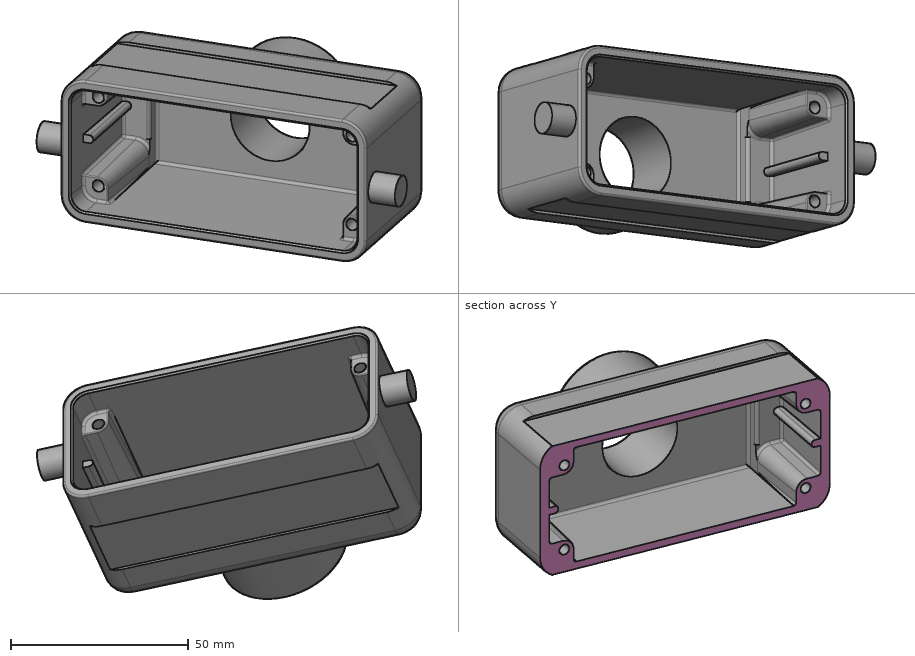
import cadquery as cq
import math

BODY_WIDTH = 93.3
BODY_DEPTH = 45.1
BODY_HEIGHT = 43.0
CORNER_RADIUS = 7.5
BACK_FILLET = 5.3
RIM_FILLET = 0.7

SIDE_WALL = 3.0
TOP_WALL = 3.2
MOUTH_CHAMFER = 0.5
CAVITY_WIDTH = BODY_WIDTH - 2 * SIDE_WALL
CAVITY_HEIGHT = BODY_HEIGHT - 2 * TOP_WALL
CAVITY_RADIUS = CORNER_RADIUS - SIDE_WALL
CAVITY_DRAFT = 0.6
CAVITY_FILLET = 0.9
BACK_WALL = 3.3
FLOOR_Y = BODY_DEPTH - BACK_WALL
SHELF_HEIGHT = 4.4
SHELF_Y = FLOOR_Y - SHELF_HEIGHT
WELL_HALF_WIDTH = 34.9
SHELF_EDGE_RADIUS = 1.0
SHELF_EDGE_LENGTH = 18.6

POST_FRONT_Y = 8.7
POST_INNER_X = 35.9
POST_INNER_Z = 10.7
POST_SIZE = 13.1
POST_RADIUS = 3.3
POST_DRAFT = 2.0
POST_TOP_FILLET = 0.3
SCREW_X = 38.8
SCREW_Z = 13.5
SCREW_RADIUS = 1.8
SCREW_DEPTH = 13.1
SCREW_DRAFT = 2.0

RIB_FRONT_Y = 9.4
RIB_TIP_X = 40.6
RIB_RADIUS = 1.2
RIB_ROOT_X = 44.3

TOTAL_DEPTH = 61.0
COLLAR_RADIUS = 18.6
COLLAR_CHAMFER = 1.0
COLLAR_FILLET = 0.7
BORE_RADIUS = 12.0

PIN_SPAN = 109.5
PIN_RADIUS = 4.5
PIN_Y = 6.1

RECESS_FRONT_Y = 13.1
RECESS_LENGTH = 18.9
RECESS_DEPTH = 0.9

SIDES = (-1, 1)


def plane_at(y):
    """Sketch plane facing +Y: local x runs along -X and local y along +Z."""
    return cq.Workplane(cq.Plane(origin=(0, y, 0), xDir=(-1, 0, 0), normal=(0, 1, 0)))


def make_body():
    body = plane_at(0).rect(BODY_WIDTH, BODY_HEIGHT).extrude(BODY_DEPTH)
    body = body.edges("|Y").fillet(CORNER_RADIUS)
    body = body.faces(">Y").edges().fillet(BACK_FILLET)
    return body.faces("<Y").edges().fillet(RIM_FILLET)


def add_collar(body):
    """Join the collar to the back of the body and round the corner where they meet."""
    collar = plane_at(FLOOR_Y).circle(COLLAR_RADIUS).extrude(TOTAL_DEPTH - FLOOR_Y)
    collar = collar.faces(">Y").edges().chamfer(COLLAR_CHAMFER)
    reach = COLLAR_RADIUS + 1.1
    around_joint = cq.selectors.BoxSelector(
        (-reach, BODY_DEPTH - 1.1, -reach),
        (reach, BODY_DEPTH + 1.1, reach),
    )
    return body.union(collar).edges(around_joint).fillet(COLLAR_FILLET)


def make_pins():
    return cq.Workplane("YZ", origin=(-PIN_SPAN / 2, PIN_Y, 0)).circle(PIN_RADIUS).extrude(PIN_SPAN)


def rounded_rectangle(width, height, radius):
    return cq.Sketch().rect(width, height).vertices().fillet(radius)


def cavity_prism(depth):
    outline = rounded_rectangle(CAVITY_WIDTH, CAVITY_HEIGHT, CAVITY_RADIUS)
    return plane_at(0).placeSketch(outline).extrude(depth, taper=CAVITY_DRAFT)


def make_post(side_x, side_z):
    """Post with a rounded inner corner, widening toward its shelf and running into the cavity walls."""
    x = side_x * (POST_INNER_X + POST_SIZE / 2)
    z = side_z * (POST_INNER_Z + POST_SIZE / 2)
    outline = rounded_rectangle(POST_SIZE, POST_SIZE, POST_RADIUS)
    post = plane_at(POST_FRONT_Y).center(-x, z).placeSketch(outline)
    post = post.extrude(SHELF_Y - POST_FRONT_Y, taper=-POST_DRAFT)
    return post.faces("<Y").edges().fillet(POST_TOP_FILLET)


def fillet_post_roots(cavity):
    """Round the long corners where the posts meet the cavity walls."""
    half_width = CAVITY_WIDTH / 2
    half_height = CAVITY_HEIGHT / 2
    middle_y = (POST_FRONT_Y + SHELF_Y) / 2
    roots = []
    for side_x in SIDES:
        for side_z in SIDES:
            on_end_wall = (side_x * half_width, middle_y, side_z * POST_INNER_Z)
            on_long_wall = (side_x * POST_INNER_X, middle_y, side_z * half_height)
            for point in (on_end_wall, on_long_wall):
                roots.append(cavity.edges(cq.selectors.NearestToPointSelector(point)).val())
    return cavity.newObject(roots).fillet(CAVITY_FILLET)


def fillet_deep_end(cavity):
    return cavity.faces(">Y").edges().fillet(CAVITY_FILLET)


def make_shelf_edge_cut():
    """Sliver that rounds the edge of the +X shelf between its two posts."""
    center_x = WELL_HALF_WIDTH + SHELF_EDGE_RADIUS
    center_y = SHELF_Y + SHELF_EDGE_RADIUS
    diagonal = SHELF_EDGE_RADIUS * math.sqrt(0.5)
    profile = (
        cq.Workplane("XY")
        .moveTo(center_x, SHELF_Y)
        .threePointArc((center_x - diagonal, center_y - diagonal), (WELL_HALF_WIDTH, center_y))
        .lineTo(WELL_HALF_WIDTH, SHELF_Y)
        .close()
    )
    return profile.extrude(SHELF_EDGE_LENGTH / 2, both=True)


def make_cavity():
    """Space down to the shelves around the posts, the well between the shelves and the mouth chamfer."""
    upper = cavity_prism(SHELF_Y)
    for side_x in SIDES:
        for side_z in SIDES:
            upper = upper.cut(make_post(side_x, side_z))
    upper = fillet_deep_end(fillet_post_roots(upper))

    well_limits = cq.Workplane().box(2 * WELL_HALF_WIDTH, 2 * FLOOR_Y, BODY_HEIGHT)
    well = fillet_deep_end(cavity_prism(FLOOR_Y).intersect(well_limits))

    mouth_outline = rounded_rectangle(
        CAVITY_WIDTH + 2 * MOUTH_CHAMFER,
        CAVITY_HEIGHT + 2 * MOUTH_CHAMFER,
        CAVITY_RADIUS + MOUTH_CHAMFER,
    )
    mouth = plane_at(0).placeSketch(mouth_outline).extrude(MOUTH_CHAMFER, taper=45)

    edge_cut = make_shelf_edge_cut()
    return upper.union(well).union(edge_cut).union(edge_cut.mirror("YZ")).union(mouth)


def make_rib():
    """Rib on the +X end wall."""
    nose_x = RIB_TIP_X + RIB_RADIUS
    outline = (
        plane_at(RIB_FRONT_Y)
        .moveTo(-RIB_ROOT_X, -RIB_RADIUS)
        .lineTo(-nose_x, -RIB_RADIUS)
        .threePointArc((-RIB_TIP_X, 0), (-nose_x, RIB_RADIUS))
        .lineTo(-RIB_ROOT_X, RIB_RADIUS)
        .close()
    )
    return outline.extrude(FLOOR_Y - RIB_FRONT_Y)


def make_recess(side_z):
    cutter = cq.Workplane().box(BODY_WIDTH, RECESS_LENGTH, 2 * RECESS_DEPTH)
    return cutter.translate((0, RECESS_FRONT_Y + RECESS_LENGTH / 2, side_z * BODY_HEIGHT / 2))


def make_screw_hole(x, z):
    """Blind hole, slightly tapered, sunk into the front of a post."""
    mouth = plane_at(POST_FRONT_Y).center(-x, z).circle(SCREW_RADIUS)
    return mouth.extrude(SCREW_DEPTH, taper=SCREW_DRAFT)


shell = add_collar(make_body()).union(make_pins()).cut(make_cavity())

rib = make_rib()
shell = shell.union(rib).union(rib.mirror("YZ"))

for side_z in SIDES:
    shell = shell.cut(make_recess(side_z))
    for side_x in SIDES:
        shell = shell.cut(make_screw_hole(side_x * SCREW_X, side_z * SCREW_Z))

result = shell.cut(plane_at(0).circle(BORE_RADIUS).extrude(TOTAL_DEPTH))